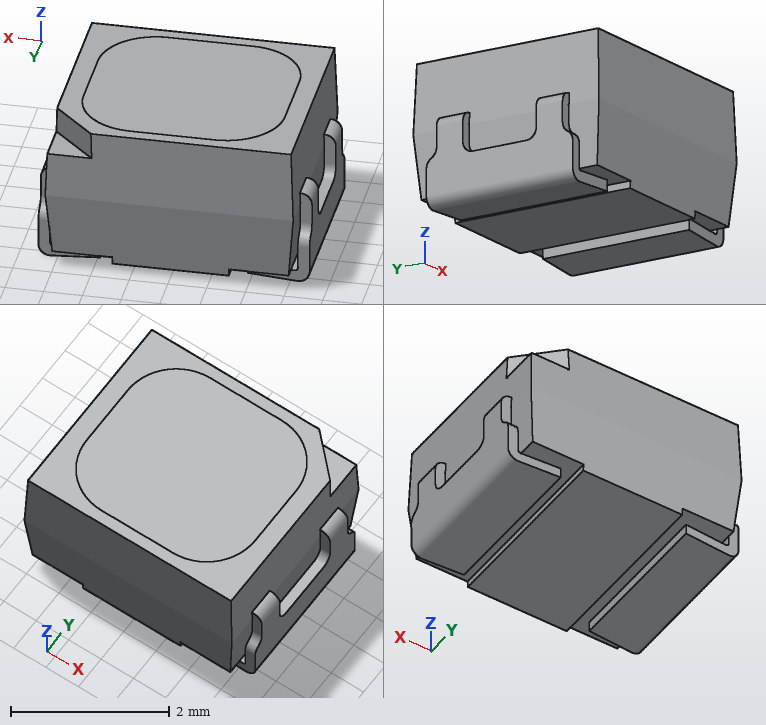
import cadquery as cq
import math

LENGTH = 3.5
HEIGHT = 2.0
SHEET = 0.15
BODY_X = LENGTH - 2 * SHEET
BODY_Y = 2.8
PARTING_Z = 1.05
BODY_BOTTOM_Z = 0.2
UPPER_DRAFT = 2.0
LOWER_DRAFT = 5.0

PAD_X = 1.5
PAD_BOTTOM_Z = 0.1

CORNER_LEG = 0.55
CORNER_DEPTH = 0.35

LENS_X = 2.6
LENS_Y = 2.4
LENS_CORNER_RADIUS = 0.75
LENS_DEPTH = HEIGHT - PARTING_Z

LEAD_TOP_Z = 1.2
LEAD_ROOT = 0.07
BEND_RADIUS = SHEET
INNER_BEND_RADIUS = 0.042
FOOT_END_X = 0.952
FOOT_ANGLE = 4.0
FOOT_HALF_Y = 1.102
ARM_OUTER_Y = 0.95
ARM_INNER_Y = 0.553
NOTCH_FLOOR_Z = 0.625
NOTCH_RADIUS = 0.15
SHOULDER_TOP_Z = 0.777

upper_height = HEIGHT - PARTING_Z
lower_height = PARTING_Z - PAD_BOTTOM_Z
top_inset = upper_height * math.tan(math.radians(UPPER_DRAFT))


def make_lens():
    return (
        cq.Workplane("XY", origin=(0, 0, HEIGHT - LENS_DEPTH))
        .rect(LENS_X, LENS_Y)
        .extrude(LENS_DEPTH)
        .edges("|Z")
        .fillet(LENS_CORNER_RADIUS)
    )


def make_polarity_corner():
    """Triangular prism that lowers the +X +Y top corner."""
    corner_x = BODY_X / 2 - top_inset
    corner_y = BODY_Y / 2 - top_inset
    reach = 2 * top_inset
    return (
        cq.Workplane("XY", origin=(0, 0, HEIGHT - CORNER_DEPTH))
        .moveTo(corner_x - CORNER_LEG - reach, corner_y + reach)
        .lineTo(corner_x + reach, corner_y + reach)
        .lineTo(corner_x + reach, corner_y - CORNER_LEG - reach)
        .close()
        .extrude(CORNER_DEPTH)
    )


def make_housing():
    parting = cq.Workplane("XY", origin=(0, 0, PARTING_Z))
    upper = parting.rect(BODY_X, BODY_Y).extrude(upper_height, taper=UPPER_DRAFT)
    lower = parting.rect(BODY_X, BODY_Y).extrude(-lower_height, taper=LOWER_DRAFT)
    relief_x = (BODY_X - PAD_X) / 2
    center_x = (BODY_X + PAD_X) / 4
    relief_height = BODY_BOTTOM_Z - PAD_BOTTOM_Z
    reliefs = (
        cq.Workplane("XY", origin=(0, 0, PAD_BOTTOM_Z))
        .pushPoints([(-center_x, 0), (center_x, 0)])
        .rect(relief_x, BODY_Y)
        .extrude(relief_height)
    )
    return upper.union(lower).cut(reliefs).cut(make_polarity_corner())


def make_bent_strip():
    """Side profile of the +X lead, full foot width along Y."""
    outer_x = LENGTH / 2
    inner_x = outer_x - SHEET
    root_x = inner_x - LEAD_ROOT
    tilt = math.radians(FOOT_ANGLE)
    diagonal = math.sqrt(0.5)

    bend_x = outer_x - BEND_RADIUS
    bend_z = BEND_RADIUS
    foot_start_x = bend_x - BEND_RADIUS * math.sin(tilt)
    foot_start_z = bend_z - BEND_RADIUS * math.cos(tilt)
    foot_end_z = foot_start_z + (foot_start_x - FOOT_END_X) * math.tan(tilt)
    foot_top_end_z = foot_end_z + SHEET / math.cos(tilt)
    inner_corner_z = foot_top_end_z - (inner_x - FOOT_END_X) * math.tan(tilt)

    profile = (
        cq.Workplane("XZ")
        .moveTo(root_x, LEAD_TOP_Z)
        .lineTo(bend_x, LEAD_TOP_Z)
        .threePointArc(
            (bend_x + BEND_RADIUS * diagonal, LEAD_TOP_Z - BEND_RADIUS * (1 - diagonal)),
            (outer_x, LEAD_TOP_Z - BEND_RADIUS),
        )
        .lineTo(outer_x, bend_z)
        .threePointArc(
            (bend_x + BEND_RADIUS * diagonal, bend_z - BEND_RADIUS * diagonal),
            (foot_start_x, foot_start_z),
        )
        .lineTo(FOOT_END_X, foot_end_z)
        .lineTo(FOOT_END_X, foot_top_end_z)
        .lineTo(inner_x, inner_corner_z)
        .lineTo(inner_x, PARTING_Z)
        .lineTo(root_x, PARTING_Z)
        .close()
    )
    inner_corner = cq.selectors.NearestToPointSelector((inner_x, 0, inner_corner_z))
    return profile.extrude(FOOT_HALF_Y, both=True).edges(inner_corner).fillet(INNER_BEND_RADIUS)


def make_lead_outline():
    """End-on outline of a lead: broad foot, S-curved shoulders and two arms."""
    step = FOOT_HALF_Y - ARM_OUTER_Y
    sweep = math.radians(60)
    shoulder_radius = step / (2 * (1 - math.cos(sweep)))
    half_drop = shoulder_radius * math.sin(sweep)
    shoulder_bottom_z = SHOULDER_TOP_Z - 2 * half_drop
    arc_mid_y = shoulder_radius * (1 - math.cos(sweep / 2))
    arc_mid_z = shoulder_radius * math.sin(sweep / 2)

    blank = cq.Workplane("YZ").rect(2 * FOOT_HALF_Y, 2 * LEAD_TOP_Z).extrude(LENGTH / 2)
    notch_height = LEAD_TOP_Z - NOTCH_FLOOR_Z
    notch = (
        cq.Workplane("YZ", origin=(0, 0, NOTCH_FLOOR_Z + notch_height / 2))
        .rect(2 * ARM_INNER_Y, notch_height)
        .extrude(LENGTH / 2)
        .edges("|X and <Z")
        .fillet(NOTCH_RADIUS)
    )
    shoulder = (
        cq.Workplane("YZ")
        .moveTo(ARM_OUTER_Y, LEAD_TOP_Z)
        .lineTo(ARM_OUTER_Y, SHOULDER_TOP_Z)
        .threePointArc(
            (ARM_OUTER_Y + arc_mid_y, SHOULDER_TOP_Z - arc_mid_z),
            (ARM_OUTER_Y + step / 2, SHOULDER_TOP_Z - half_drop),
        )
        .threePointArc(
            (FOOT_HALF_Y - arc_mid_y, shoulder_bottom_z + arc_mid_z),
            (FOOT_HALF_Y, shoulder_bottom_z),
        )
        .lineTo(FOOT_HALF_Y, LEAD_TOP_Z)
        .close()
        .extrude(LENGTH / 2)
    )
    return blank.cut(notch).cut(shoulder).cut(shoulder.mirror("XZ"))


def make_lead():
    """Lead on the +X side."""
    return make_bent_strip().intersect(make_lead_outline())


lens = make_lens()

lead = make_lead()
housing = make_housing()
for side_lead in (lead, lead.mirror("YZ")):
    housing = housing.union(side_lead)
housing = housing.cut(lens)

result = cq.Compound.makeCompound([housing.solids().val(), lens.solids().val()])